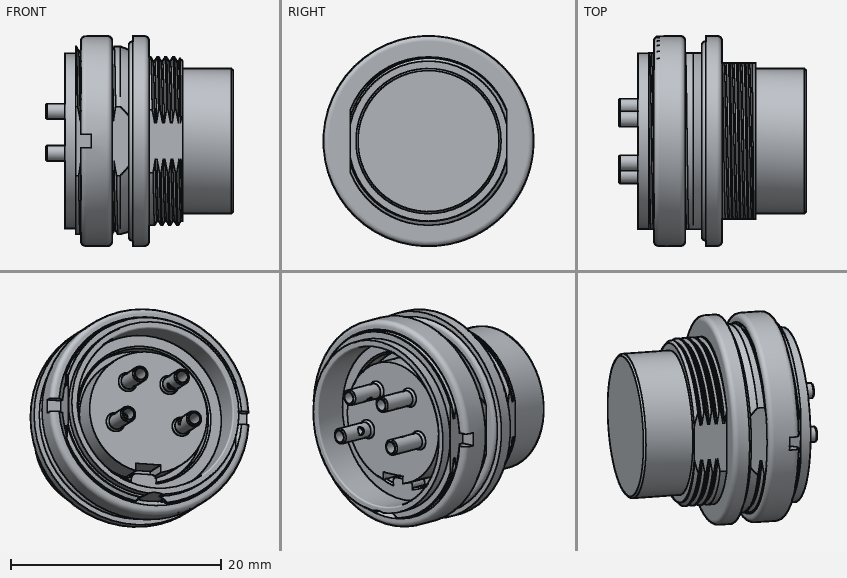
import cadquery as cq
import math


shell_length = 16.0
rim_diameter = 16.72
rim_length = 1.0
collar_end = 5.25
neck_end = 6.05
neck_diameter = 17.45
rear_thread_end = 11.2
tail_diameter = 13.8
tail_chamfer = 0.2

turns_per_span = 4
thread_span = 3.0
thread_pitch = thread_span / turns_per_span
thread_root_width = 0.15
thread_crest_width = 0.15
front_thread_diameter = 18.0
front_thread_root = 17.2
front_thread_start = 1.18
front_thread_half_turns = 10
front_flats = 16.75
rear_thread_diameter = 16.0
rear_thread_root = 15.25
rear_thread_chamfer = 0.4
rear_thread_start = 8.25
rear_thread_half_turns = 9
rear_flats = 14.85
cutter_overlap = 0.1

flange_diameter = 20.0
flange_start = 6.45
flange_end = 8.0
edge_round = 0.5
gasket_diameter = 18.95
gasket_round = 0.38

nut_start = 1.5
nut_end = 4.5
nut_bore = 17.28
nut_mouth = 18.3
nut_slot_width = 1.25
nut_slot_depth = 1.0

groove_radius = 2.0
groove_top = -8.2

socket_diameter = 15.5
socket_floor = 3.45
socket_round = 0.15
well_diameter = 13.05
well_floor = 5.2
well_chamfer = 0.18
boss_diameter = 11.75
boss_face = 2.1
key_width = 2.48
key_top = -5.72
key_corner = 0.48
notch_top = -5.02

pin_diameter = 1.48
pin_tip = -1.85
pin_tip_chamfer = 0.15
pin_foot_diameter = 1.82
pin_foot_length = 0.3
pin_bore = 1.1
pin_bore_end = 1.2
drill_point_angle = 118.0
vent_diameter = 0.8
vent_position = 0.45
pin_places = [(3.3, -1.15), (2.08, 2.82), (-2.08, 2.82), (-3.3, -1.15)]


def disc(diameter, start, end):
    """Solid cylinder on the X axis."""
    return cq.Workplane("YZ").workplane(offset=start).circle(diameter / 2).extrude(end - start)


def revolved(points):
    """Solid of revolution about X from (x, radius) points."""
    return cq.Workplane("XY").polyline(points).close().revolve(360, (0, 0, 0), (1, 0, 0))


def thread_groove(outer_diameter, root_diameter, start, turns, start_angle):
    """Right-handed V-groove cutter; start_angle turns its start about X, from -Z towards +Y."""
    root = root_diameter / 2
    depth = outer_diameter / 2 - root
    root_half = thread_root_width / 2
    mouth_half = (thread_pitch - thread_crest_width) / 2
    flank_slope = (mouth_half - root_half) / depth
    top_half = mouth_half + flank_slope * cutter_overlap
    top = outer_diameter / 2 + cutter_overlap
    path = cq.Wire.makeHelix(thread_pitch, turns * thread_pitch, root)
    profile = cq.Workplane("XZ").polyline(
        [(root, -root_half), (top, -top_half), (top, top_half), (root, root_half)]
    ).close()
    groove = profile.sweep(cq.Workplane(path), isFrenet=True)
    groove = groove.rotate((0, 0, 0), (0, 1, 0), 90)
    return groove.rotate((0, 0, 0), (1, 0, 0), start_angle).translate((start, 0, 0))


def cut_thread(body, outer_diameter, root_diameter, start, half_turns):
    """Cut a thread that starts on the +Y flat and passes first over +Z.

    The flats are deeper than the groove, so it is cut as separate half turns from flat to flat.
    """
    for index in range(half_turns):
        half_turn_start = start + index * thread_pitch / 2
        half_turn_angle = 90 + 180 * index
        body = body.cut(thread_groove(
            outer_diameter, root_diameter, half_turn_start, 0.5, half_turn_angle))
    return body


def across_flats(body, width, start, end):
    """Trim a body to two flats facing +Y and -Y."""
    block = cq.Workplane("XY").box(end - start, width, flange_diameter)
    return body.intersect(block.translate(((start + end) / 2, 0, 0)))


def front_body():
    """Rim, front thread and the neck that tapers towards the flange."""
    rim = rim_diameter / 2
    crest = front_thread_diameter / 2
    body = revolved([
        (0, 0), (0, rim), (rim_length, rim), (rim_length, crest), (collar_end, crest),
        (neck_end, neck_diameter / 2), (flange_start, neck_diameter / 2), (flange_start, 0),
    ])
    body = across_flats(body, front_flats, 0, flange_start)
    body = cut_thread(
        body, front_thread_diameter, front_thread_root, front_thread_start, front_thread_half_turns)
    lead_in_start = front_thread_start - thread_pitch / 4
    body = body.cut(thread_groove(
        front_thread_diameter, front_thread_root, lead_in_start, 0.25, 0))
    locating_groove = disc(2 * groove_radius, 0, neck_end)
    return body.cut(locating_groove.translate((0, 0, groove_top - groove_radius)))


def rear_body():
    """Rear thread and the plain tail behind it."""
    body = disc(rear_thread_diameter, flange_end, rear_thread_end)
    body = body.faces(">X").chamfer(rear_thread_chamfer)
    body = across_flats(body, rear_flats, flange_end, rear_thread_end)
    body = cut_thread(
        body, rear_thread_diameter, rear_thread_root, rear_thread_start, rear_thread_half_turns)
    tail = disc(tail_diameter, flange_end, shell_length).faces(">X").chamfer(tail_chamfer)
    return body.union(tail)


def flange():
    """Flange plate with the gasket against its front face."""
    plate = disc(flange_diameter, flange_start, flange_end).faces(">X").edges().fillet(edge_round)
    gasket = disc(gasket_diameter, neck_end, flange_start).faces("<X").edges().fillet(gasket_round)
    return plate.union(gasket)


def ring_nut():
    """Nut with countersunk ends and a spanner slot across its front face."""
    nut = disc(flange_diameter, nut_start, nut_end).edges().fillet(edge_round)
    bore = nut_bore / 2
    mouth = nut_mouth / 2
    lead_in = mouth - bore
    nut = nut.cut(revolved([
        (nut_start, 0), (nut_start, mouth), (nut_start + lead_in, bore),
        (nut_end - lead_in, bore), (nut_end, mouth), (nut_end, 0),
    ]))
    slot = cq.Workplane("XY").box(nut_slot_depth, flange_diameter, nut_slot_width)
    return nut.cut(slot.translate((nut_start + nut_slot_depth / 2, 0, 0)))


def socket():
    """Space inside the shell: a wide socket with a rounded mouth, then a narrower well."""
    mouth = socket_diameter / 2
    well = well_diameter / 2
    arc_inset = socket_round * (1 - math.sqrt(0.5))
    profile = (
        cq.Workplane("XY")
        .lineTo(0, mouth + socket_round)
        .threePointArc((arc_inset, mouth + arc_inset), (socket_round, mouth))
        .lineTo(socket_floor, mouth)
        .lineTo(socket_floor, well + well_chamfer)
        .lineTo(socket_floor + well_chamfer, well)
        .lineTo(well_floor, well)
        .lineTo(well_floor, 0)
        .close()
    )
    return profile.revolve(360, (0, 0, 0), (1, 0, 0))


def insulator():
    """Boss that stands in the well, with a notch at the bottom for the key."""
    boss = disc(boss_diameter, boss_face, well_floor)
    notch_height = boss_diameter / 2 + notch_top
    notch = cq.Workplane("XY").box(well_floor - boss_face, key_width, notch_height)
    return boss.cut(notch.translate(
        ((boss_face + well_floor) / 2, 0, notch_top - notch_height / 2)))


def key():
    """Tongue of the shell that reaches from the well wall into the insulator notch."""
    bottom = -socket_diameter / 2
    height = key_top - bottom
    tongue = cq.Workplane("XY").box(well_floor - socket_floor, key_width, height)
    tongue = tongue.edges("|X and >Z").fillet(key_corner)
    return tongue.translate(((socket_floor + well_floor) / 2, 0, bottom + height / 2))


def pin(y, z):
    """Hollow pin with a flared foot and a vent hole facing the connector axis."""
    radius = pin_diameter / 2
    bore = pin_bore / 2
    point_length = bore / math.tan(math.radians(drill_point_angle / 2))
    body = revolved([
        (pin_tip, 0), (pin_tip, radius - pin_tip_chamfer), (pin_tip + pin_tip_chamfer, radius),
        (boss_face - pin_foot_length, radius), (boss_face, pin_foot_diameter / 2),
        (well_floor, pin_foot_diameter / 2), (well_floor, 0),
    ])
    body = body.cut(revolved([
        (pin_tip, 0), (pin_tip, bore), (pin_bore_end, bore), (pin_bore_end + point_length, 0),
    ]))
    vent = cq.Workplane("XY").center(vent_position, 0).circle(vent_diameter / 2).extrude(pin_diameter)
    inward_angle = math.degrees(math.atan2(y, -z))
    body = body.cut(vent.rotate((0, 0, 0), (1, 0, 0), inward_angle))
    return body.translate((0, y, z))


result = front_body().union(flange()).union(rear_body()).union(ring_nut())
result = result.cut(socket()).union(insulator()).union(key())
for pin_y, pin_z in pin_places:
    result = result.union(pin(pin_y, pin_z))